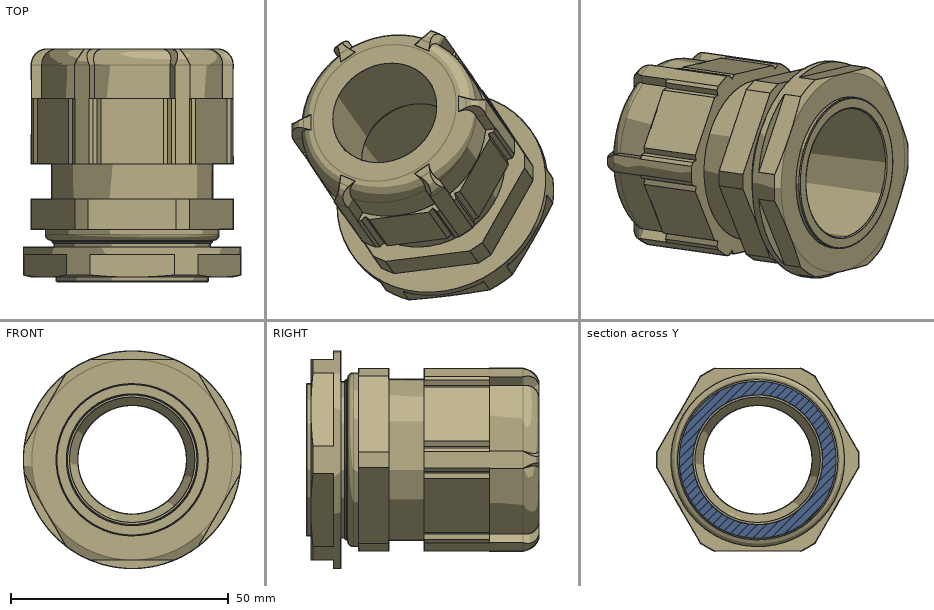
import cadquery as cq
import math

LENGTH = 53.5
FULL_TURN = 360.0
HEX_SIDES = 6
HEX_STEP = FULL_TURN / HEX_SIDES

NUT_START = 1.05
NUT_FLANGE_START = 6.2
NUT_END = 7.95
SEAL_START = 8.8
COLLAR_START = 9.5
BODY_HEX_START = 12.05
BODY_HEX_END = 19.0
CAP_START = 27.05
CAP_HEX_END = 42.05

THREAD_RADIUS = 17.5
THREAD_CHAMFER = 0.2
INNER_THREAD_RADIUS = 18.0
SEAL_RADIUS = 18.4
SEAL_CHAMFER = 0.3
COLLAR_RADIUS = 19.95
COLLAR_FILLET = 1.3
NECK_RADIUS = 18.5

NUT_DIAMETER = 50.0
NUT_RADIUS = NUT_DIAMETER / 2
NUT_FLAT_DISTANCE = 23.05
NUT_CHAMFER_LENGTH = 0.5

WRENCH_FLAT_DISTANCE = 20.95
WRENCH_CORNER_RADIUS = 23.2

CAP_RADIUS = 20.85
CAP_FILLET = 3.75
RIB_HALF_WIDTH = 2.0
RIB_INNER_RADIUS = 17.65
RIB_OUTER_RADIUS = 23.55
RIB_TIP_RADIUS = 22.35
RIB_TIP_HALF_WIDTH = 0.1
GROOVE_CENTER = 8.1
GROOVE_DEPTH = 0.9

BORE_RADIUS = 14.85
BORE_CHAMFER = 0.25
LIP_RADIUS = 14.4
OUTLET_RADIUS = 12.45
BORE_END = CAP_START
CONE_LENGTH = 3.2


def plane_at(y):
    """Plane normal to the gland axis; local x is X and local y is Z."""
    return cq.Workplane(cq.Plane((0, y, 0), xDir=(1, 0, 0), normal=(0, -1, 0)))


def disc(radius, start, end):
    return plane_at(start).circle(radius).extrude(start - end)


def hexagon(flat_distance, start, end):
    """Hexagonal prism with two flats facing +Z and -Z."""
    corner_diameter = 2 * flat_distance / math.cos(math.pi / HEX_SIDES)
    return plane_at(start).polygon(HEX_SIDES, corner_diameter).extrude(start - end)


def spin(shape, step_index):
    """Turn a shape about the gland axis by a number of hexagon steps."""
    return shape.rotate((0, 0, 0), (0, 1, 0), step_index * HEX_STEP)


def spin_quarter(shape):
    """Turn a hexagon so that flats face +X and -X."""
    return shape.rotate((0, 0, 0), (0, 1, 0), FULL_TURN / 4)


def make_lock_nut():
    nut = hexagon(NUT_FLAT_DISTANCE, NUT_START, NUT_FLANGE_START)
    nut = nut.union(disc(NUT_RADIUS, NUT_FLANGE_START, NUT_END))
    envelope = disc(NUT_RADIUS, NUT_START, NUT_END)
    envelope = envelope.faces("<Y").chamfer(NUT_CHAMFER_LENGTH, NUT_RADIUS - NUT_FLAT_DISTANCE)
    return nut.intersect(envelope)


def make_body():
    thread = disc(THREAD_RADIUS, 0, NUT_END).faces("<Y").chamfer(THREAD_CHAMFER)
    seal = disc(SEAL_RADIUS, SEAL_START, COLLAR_START).edges().chamfer(SEAL_CHAMFER)
    collar = disc(COLLAR_RADIUS, COLLAR_START, BODY_HEX_START).faces("<Y").edges().fillet(COLLAR_FILLET)
    wrench_hex = hexagon(WRENCH_FLAT_DISTANCE, BODY_HEX_START, BODY_HEX_END)
    corner_cut = spin_quarter(hexagon(WRENCH_CORNER_RADIUS, BODY_HEX_START, BODY_HEX_END))
    body = thread.union(disc(INNER_THREAD_RADIUS, NUT_END, SEAL_START))
    body = body.union(seal)
    body = body.union(collar)
    body = body.union(wrench_hex.intersect(corner_cut))
    return body.union(disc(NECK_RADIUS, BODY_HEX_END, CAP_START))


def domed_cylinder(radius, start):
    return disc(radius, start, LENGTH).faces(">Y").edges().fillet(CAP_FILLET)


def make_rib():
    """One rib on the +X side, its end tapering to a narrow ridge over the dome."""
    dome_start = LENGTH - CAP_FILLET
    rib_width = 2 * RIB_HALF_WIDTH
    rib_depth = RIB_OUTER_RADIUS - RIB_INNER_RADIUS
    straight = (
        plane_at(CAP_HEX_END)
        .center(RIB_INNER_RADIUS + rib_depth / 2, 0)
        .rect(rib_depth, rib_width)
        .extrude(CAP_HEX_END - dome_start)
    )

    def section(outer_radius, outer_half_width):
        return [
            (RIB_INNER_RADIUS, -RIB_HALF_WIDTH),
            (outer_radius, -outer_half_width),
            (outer_radius, outer_half_width),
            (RIB_INNER_RADIUS, RIB_HALF_WIDTH),
        ]

    tapered = (
        plane_at(dome_start)
        .polyline(section(RIB_OUTER_RADIUS, RIB_HALF_WIDTH))
        .close()
        .workplane(offset=-CAP_FILLET)
        .polyline(section(RIB_TIP_RADIUS, RIB_TIP_HALF_WIDTH))
        .close()
        .loft(ruled=True)
    )
    return straight.union(tapered)


def make_grip_groove(side):
    """V groove along the +Z flat of the cap, on the given side of its middle."""
    center = side * GROOVE_CENTER
    return (
        plane_at(CAP_START)
        .polyline([
            (center - GROOVE_DEPTH, WRENCH_FLAT_DISTANCE),
            (center, WRENCH_FLAT_DISTANCE - GROOVE_DEPTH),
            (center + GROOVE_DEPTH, WRENCH_FLAT_DISTANCE),
        ])
        .close()
        .extrude(CAP_START - CAP_HEX_END)
    )


def make_cap():
    cap = hexagon(WRENCH_FLAT_DISTANCE, CAP_START, CAP_HEX_END)
    for index in range(HEX_SIDES):
        for side in (-1, 1):
            cap = cap.cut(spin(make_grip_groove(side), index))
    cap = cap.union(domed_cylinder(CAP_RADIUS, CAP_HEX_END))
    for index in range(HEX_SIDES):
        cap = cap.union(spin(make_rib(), index))
    return cap.intersect(domed_cylinder(WRENCH_CORNER_RADIUS, CAP_START))


def make_bore():
    """Straight bore from the threaded end, narrowing through a cone to the cap outlet."""
    cone_end = BORE_END + CONE_LENGTH
    return (
        cq.Workplane("XY")
        .moveTo(0, 0)
        .lineTo(BORE_RADIUS + BORE_CHAMFER, 0)
        .lineTo(BORE_RADIUS, BORE_CHAMFER)
        .lineTo(BORE_RADIUS, BORE_END)
        .lineTo(LIP_RADIUS, BORE_END)
        .lineTo(OUTLET_RADIUS, cone_end)
        .lineTo(OUTLET_RADIUS, LENGTH)
        .lineTo(0, LENGTH)
        .close()
        .revolve(FULL_TURN, (0, 0, 0), (0, 1, 0))
    )


result = make_body().union(make_lock_nut()).union(make_cap()).cut(make_bore())